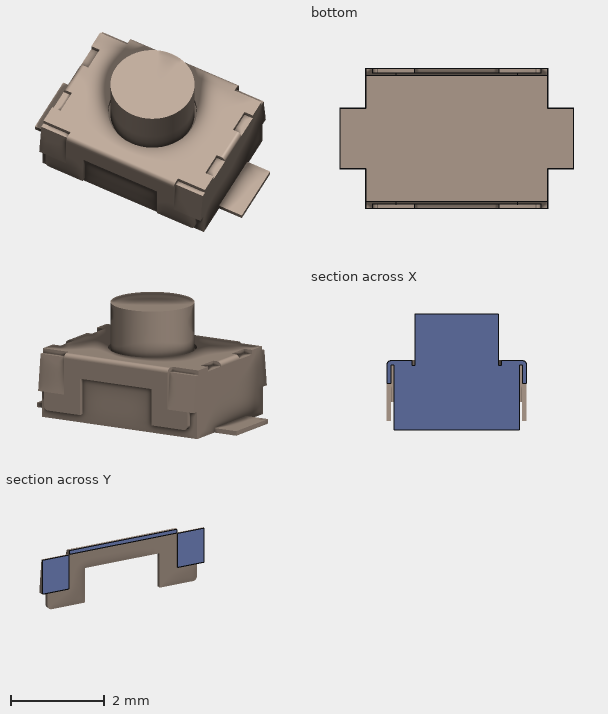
import cadquery as cq

total_length = 5.0
total_width = 3.0
total_height = 2.5

base_length = 3.9
base_width = 2.7
base_height = 1.4

sheet = 0.1
cover_top = base_height + sheet
bend_radius = sheet
flap_bottom = 0.2
flap_length = 3.6
flap_corner_radius = 0.1
flap_window_length = 1.8
flap_window_top = 1.0

wedge_length = 0.65
wedge_bottom = 0.6
wedge_top_width = total_width - 2 * sheet
corner_relief_depth = 0.2

tab_width = 0.75
tab_relief_width = 0.525
tab_relief_depth = 0.2

plunger_diameter = 1.8
cover_hole_diameter = 1.9
terminal_width = 1.3
terminal_thickness = 0.1

neck_length = base_length - 2 * wedge_length


def block(length, width, bottom, top, x=0.0, y=0.0):
    """Box centred at (x, y) and spanning bottom to top in Z."""
    centre = (x, y, (bottom + top) / 2)
    return cq.Workplane("XY").box(length, width, top - bottom).translate(centre)


def make_wedge(x):
    """Pair of corner wedges at one end, tapering inward toward the top."""
    return (
        cq.Workplane("YZ")
        .moveTo(-total_width / 2, wedge_bottom)
        .lineTo(total_width / 2, wedge_bottom)
        .lineTo(wedge_top_width / 2, base_height)
        .lineTo(-wedge_top_width / 2, base_height)
        .close()
        .extrude(wedge_length / 2, both=True)
        .translate((x, 0, 0))
    )


def make_base():
    base = block(base_length, base_width, 0, base_height)
    for side in (-1, 1):
        base = base.union(make_wedge(side * (base_length - wedge_length) / 2))
    return base


def make_cover():
    cover = block(base_length, total_width, flap_bottom, cover_top)
    cover = cover.edges("|X and >Z").fillet(bend_radius)
    cover = cover.cut(block(base_length, wedge_top_width, flap_bottom, base_height))

    neck = block(neck_length, total_width, wedge_bottom, base_height)
    foot = block(flap_length, total_width, flap_bottom, wedge_bottom)
    foot = foot.edges("|Y and <Z").fillet(flap_corner_radius)
    plate = block(base_length, total_width, base_height, cover_top)
    cover = cover.intersect(plate.union(neck).union(foot))
    cover = cover.cut(block(flap_window_length, total_width, flap_bottom, flap_window_top))

    tab_relief_y = (tab_width + tab_relief_width) / 2
    corner_relief_y = (total_width - corner_relief_depth) / 2
    for x_side in (-1, 1):
        corner_x = x_side * (base_length - wedge_length) / 2
        tab_relief_x = x_side * (base_length - tab_relief_depth) / 2
        for y_side in (-1, 1):
            corner_relief = block(
                wedge_length, corner_relief_depth, base_height, cover_top,
                corner_x, y_side * corner_relief_y,
            )
            tab_relief = block(
                tab_relief_depth, tab_relief_width, base_height, cover_top,
                tab_relief_x, y_side * tab_relief_y,
            )
            cover = cover.cut(corner_relief).cut(tab_relief)

    tab_envelope = block(base_length, tab_width, 0, cover_top)
    rounded_envelope = tab_envelope.edges("|Y and >Z").fillet(bend_radius)
    cover = cover.cut(tab_envelope.cut(rounded_envelope))

    hole = cq.Workplane("XY").workplane(offset=base_height).circle(cover_hole_diameter / 2).extrude(sheet)
    return cover.cut(hole)


def make_plunger():
    return (
        cq.Workplane("XY")
        .workplane(offset=base_height)
        .circle(plunger_diameter / 2)
        .extrude(total_height - base_height)
    )


terminals = block(total_length, terminal_width, 0, terminal_thickness)

result = make_base().union(make_cover()).union(make_plunger()).union(terminals)